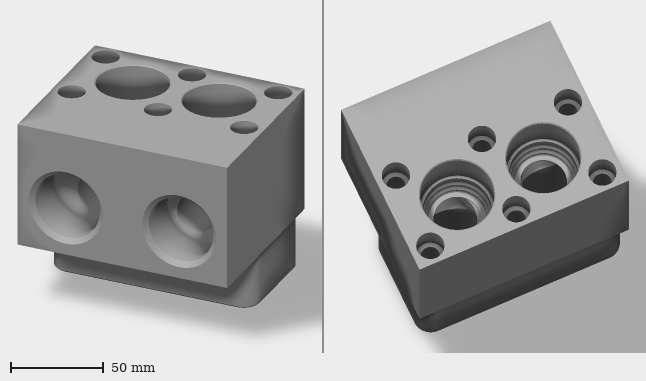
import cadquery as cq
import math

drill_half_angle = math.radians(59)

length = 123.8
width = 101.5
block_height = 72.8
back_y = width / 2
front_y = -width / 2

foot_length = 120.6
foot_width = 63.9
foot_height = 32.0
foot_back_gap = 0.5
foot_corner_radius = 9.7
foot_bevel = 0.9
foot_y = back_y - foot_back_gap - foot_width / 2

screw_pitch_x = 50.9
screw_pitch_y = 44.6
screw_diameter = 10.3
screw_head_diameter = 15.2
screw_head_depth = 14.9

cavity_x = 25.5
cavity_y = back_y - 31.0
cavity_radius = 20.0
cavity_bevel = 0.6
cavity_depth = 23.2
seat_radius = 18.6
seat_depth = 28.5
step_radius = 17.3
step_depth = 32.2
neck_radius = 16.0
neck_depth = 35.3
neck_bevel = 0.5
drill_radius = 12.8
drill_depth = 36.7

passage_x = 28.7
passage_radius = 14.4

port_x = 33.4
port_z = 28.2
port_radius = 19.0
port_bevel = 2.7
port_depth = 27.2

link_radius = 11.1
link_z = port_z - 3.8
link_start_x = 30.5
link_end_x = 26.4


def drill_tip_length(radius):
    return radius / math.tan(drill_half_angle)


def make_body():
    block = cq.Workplane("XY").box(length, width, block_height, centered=(True, True, False))
    foot = (
        cq.Workplane("XY")
        .box(foot_length, foot_width, foot_height, centered=(True, True, False))
        .edges("|Z")
        .fillet(foot_corner_radius)
        .faces("<Z")
        .chamfer(foot_bevel)
        .translate((0, foot_y, -foot_height))
    )
    return block.union(foot)


def cut_screw_holes(body):
    return (
        body.faces(">Z")
        .workplane(origin=(0, foot_y, block_height))
        .rarray(screw_pitch_x, screw_pitch_y, 3, 2)
        .cboreHole(screw_diameter, screw_head_diameter, screw_head_depth)
    )


def make_cavity(side):
    """Stepped cavity turned about a vertical axis, ending in a drill tip."""
    profile = [
        (0, 0),
        (cavity_radius + cavity_bevel, 0),
        (cavity_radius, -cavity_bevel),
        (cavity_radius, -cavity_depth),
        (seat_radius, -cavity_depth),
        (seat_radius, -seat_depth),
        (step_radius, -seat_depth - (seat_radius - step_radius)),
        (step_radius, -step_depth),
        (neck_radius, -step_depth - (step_radius - neck_radius)),
        (neck_radius, -neck_depth),
        (neck_radius - neck_bevel, -neck_depth - neck_bevel),
        (drill_radius, -neck_depth - neck_bevel),
        (drill_radius, -drill_depth),
        (0, -drill_depth - drill_tip_length(drill_radius)),
    ]
    cavity = cq.Workplane("XZ").polyline(profile).close().revolve(360, (0, 0), (0, 1))
    return cavity.translate((side * cavity_x, cavity_y, block_height))


def make_passage(side):
    """Vertical passage from the underside of the foot up to the cavity drill tip."""
    return (
        cq.Workplane("XY", origin=(side * passage_x, foot_y, -foot_height))
        .circle(passage_radius)
        .extrude(foot_height + block_height - drill_depth)
    )


def make_port(side):
    """Bevelled port turned about an axis along Y, ending in a drill tip."""
    profile = [
        (0, 0),
        (port_radius + port_bevel, 0),
        (port_radius, port_bevel),
        (port_radius, port_depth),
        (0, port_depth + drill_tip_length(port_radius)),
    ]
    port = cq.Workplane("XY").polyline(profile).close().revolve(360, (0, 0), (0, 1))
    return port.translate((side * port_x, front_y, port_z))


def make_link(side):
    """Slanted passage from the port's drill tip to the cavity's drilled bore."""
    start = cq.Vector(side * link_start_x, front_y + port_depth, link_z)
    end = cq.Vector(side * link_end_x, cavity_y, link_z)
    axis = end - start
    return cq.Workplane(cq.Solid.makeCylinder(link_radius, axis.Length, start, axis))


result = cut_screw_holes(make_body())
for side in (-1, 1):
    for make_tool in (make_cavity, make_passage, make_port, make_link):
        result = result.cut(make_tool(side))